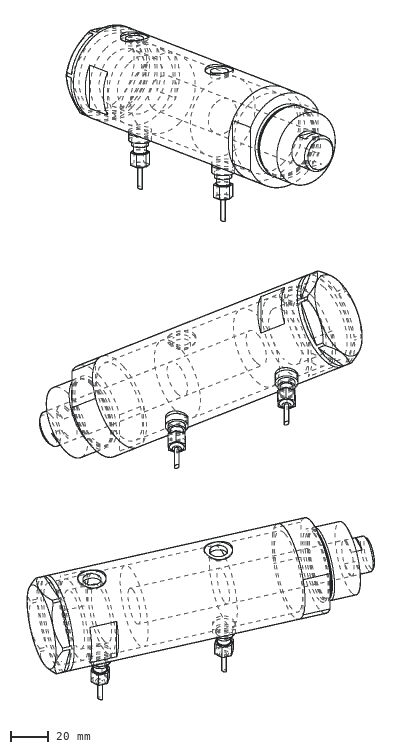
import cadquery as cq
import math


total_length = 184.4
cap_hex_length = 6.8
cap_length = 9.0
housing_end = 139.0
gland_shoulder = 154.2
gland_end = 172.5

housing_radius = 26.0
bore_radius = 22.1
flat_distance = 23.0
flat_start = 19.0
flat_length = gland_shoulder - housing_end

port_positions = (28.4, 99.5)
port_seat_radius = 7.5
port_seat_height = 24.7
port_radius = 4.8
sensor_positions = (33.0, 102.7)
boss_bottom = -27.1

cap_across_flats = 46.0
cap_hex_turn = 7.6
cap_face_radius = 22.9
cap_chamfer_length = 2.8
cap_plug_end = 18.5
cap_stop_radius = 16.0

piston_start = 33.7
piston_length = 18.5
rod_radius = 9.8
rod_chamfer = 1.3
rod_flat_distance = 8.1
rod_flat_end = 178.5

gland_inner_end = 102.3
nose_diameter = 40.0
nose_radius = nose_diameter / 2
groove_radius = 18.8
groove_land_radius = 19.2
groove_start = 155.0
groove_end = 156.4
groove_land_end = 157.0
nose_start = 157.8

flange_radius = 6.0
flange_bottom = -31.0
collar_radius = 4.6
collar_bottom = -33.7
neck_radius = 3.5
hex_top = -37.8
hex_washer_radius = 3.9
hex_washer_top = -37.5
hex_across_flats = 9.0
hex_bottom = -44.8
cone_tip_radius = 2.4
cone_bottom = -46.0
cable_radius = 1.3
cable_bottom = -58.3
cable_end_rise = 1.1


def x_cylinder(start, end, radius):
    return cq.Workplane("YZ", origin=(start, 0, 0)).circle(radius).extrude(end - start)


def z_cylinder(x, start, end, radius):
    return cq.Workplane("XY", origin=(x, 0, start)).circle(radius).extrude(end - start)


def revolve_about_x(profile):
    """Solid of revolution from (x, radius) points that start and end on the X axis."""
    return cq.Workplane("XY").polyline(profile).close().revolve(360, (0, 0, 0), (1, 0, 0))


def wrench_flats(start, distance, width):
    """Two blocks that lie outside Y = -distance and Y = +distance, to be cut away."""
    depth = housing_radius
    blocks = cq.Workplane("XY")
    for side in (-1, 1):
        centre = (start + width / 2, side * (distance + depth / 2), 0)
        blocks = blocks.add(cq.Workplane("XY").box(width, depth, 2 * housing_radius).translate(centre))
    return blocks.combine()


def make_housing():
    body = x_cylinder(cap_length, housing_end, housing_radius)
    for x in sensor_positions:
        body = body.union(z_cylinder(x, boss_bottom, -bore_radius, flange_radius))
    body = body.cut(x_cylinder(cap_length, housing_end, bore_radius))
    for x in port_positions:
        body = body.cut(z_cylinder(x, port_seat_height, housing_radius, port_seat_radius))
        body = body.cut(z_cylinder(x, 0, housing_radius, port_radius))
    return body.cut(wrench_flats(flat_start, flat_distance, flat_length))


def make_cap():
    corner_diameter = cap_across_flats / math.cos(math.radians(30))
    hexagon = (
        cq.Workplane("YZ")
        .polygon(6, corner_diameter)
        .extrude(cap_hex_length)
        .rotate((0, 0, 0), (1, 0, 0), -cap_hex_turn)
    )
    chamfered_blank = revolve_about_x([
        (0, 0),
        (0, cap_face_radius),
        (cap_chamfer_length, housing_radius),
        (cap_hex_length, housing_radius),
        (cap_hex_length, 0),
    ])
    collar = x_cylinder(cap_hex_length, cap_length, housing_radius)
    plug = x_cylinder(cap_length, cap_plug_end, bore_radius)
    stop = x_cylinder(cap_plug_end, piston_start, cap_stop_radius)
    return hexagon.intersect(chamfered_blank).union(collar).union(plug).union(stop)


def make_piston_rod():
    piston_end = piston_start + piston_length
    rod = revolve_about_x([
        (piston_start, 0),
        (piston_start, bore_radius),
        (piston_end, bore_radius),
        (piston_end, rod_radius),
        (total_length - rod_chamfer, rod_radius),
        (total_length, rod_radius - rod_chamfer),
        (total_length, 0),
    ])
    flats = wrench_flats(gland_end, rod_flat_distance, rod_flat_end - gland_end)
    return rod.cut(flats.rotate((0, 0, 0), (1, 0, 0), 90))


def make_gland():
    body = revolve_about_x([
        (gland_inner_end, 0),
        (gland_inner_end, bore_radius),
        (housing_end, bore_radius),
        (housing_end, housing_radius),
        (gland_shoulder, housing_radius),
        (gland_shoulder, nose_radius),
        (groove_start, groove_radius),
        (groove_end, groove_radius),
        (groove_end, groove_land_radius),
        (groove_land_end, groove_land_radius),
        (nose_start, nose_radius),
        (gland_end, nose_radius),
        (gland_end, 0),
    ])
    body = body.cut(wrench_flats(housing_end, flat_distance, flat_length))
    return body.cut(x_cylinder(gland_inner_end, gland_end, rod_radius))


def make_sensor(x):
    turned = (
        cq.Workplane("XZ")
        .polyline([
            (0, boss_bottom),
            (flange_radius, boss_bottom),
            (flange_radius, flange_bottom),
            (collar_radius, flange_bottom),
            (collar_radius, collar_bottom),
            (neck_radius, collar_bottom),
            (neck_radius, hex_washer_top),
            (hex_washer_radius, hex_washer_top),
            (hex_washer_radius, hex_bottom),
            (cone_tip_radius, cone_bottom),
            (cable_radius, cone_bottom),
            (cable_radius, cable_bottom),
            (0, cable_bottom),
        ])
        .close()
        .revolve(360, (0, 0, 0), (0, 1, 0))
    )
    corner_diameter = hex_across_flats / math.cos(math.radians(30))
    nut = (
        cq.Workplane("XY", origin=(0, 0, hex_bottom))
        .polygon(6, corner_diameter)
        .extrude(hex_top - hex_bottom)
    )
    oblique_cut = (
        cq.Workplane("XZ")
        .polyline([
            (-cable_radius, cable_bottom),
            (cable_radius, cable_bottom),
            (-cable_radius, cable_bottom + cable_end_rise),
        ])
        .close()
        .extrude(cable_radius, both=True)
    )
    return turned.union(nut).cut(oblique_cut).translate((x, 0, 0))


housing = make_housing()
cap = make_cap()
piston_rod = make_piston_rod()
gland = make_gland()
sensors = [make_sensor(x) for x in sensor_positions]

result = cq.Compound.makeCompound(
    [housing.val(), cap.val(), piston_rod.val(), gland.val()] + [sensor.val() for sensor in sensors]
)